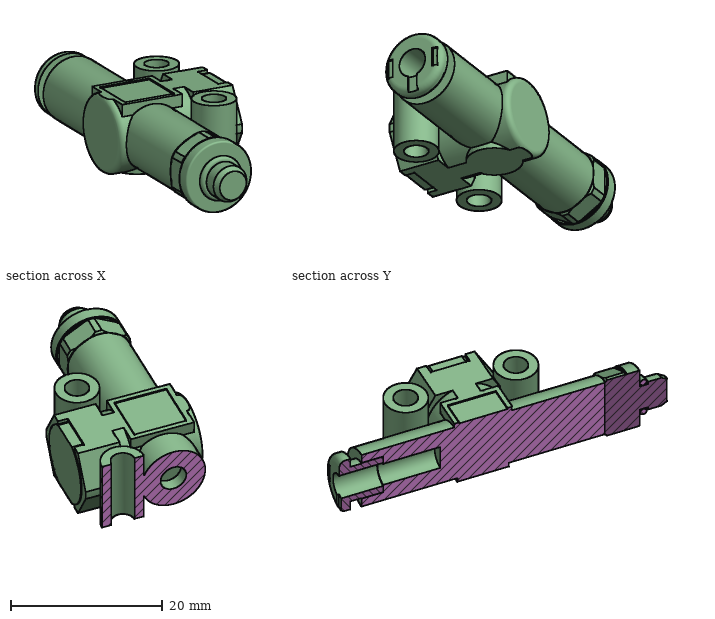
import cadquery as cq
import math


half_hexagon_angle = 30

overall_length = 47.6
left_end = -20.9
right_end = left_end + overall_length
tube_start = left_end + 3.25
tube_end = left_end + 38.6

tube_diameter = 9.2
bore_diameter = 3.6
bore_depth = 11.42

button_flange_diameter = 9.0
button_flange_length = 1.6
button_flange_round = 0.95
button_neck_diameter = 6.2
button_bore_diameter = 4.0
button_seat_depth = 3.15
button_mark_depth = 0.3
button_slot_width = 1.45
button_pocket_inner = 3.05
button_pocket_outer = 3.8
button_pocket_height = 2.65

barrel_diameter = 11.0
barrel_front = -5.47
barrel_length = 17.7
barrel_back = barrel_front + barrel_length
barrel_front_round = 0.8
flat_half_height = 5.25
barrel_back_half_height = 4.95

side_hex_across_flats = 12.45
side_hex_corner_diameter = 13.75
side_hex_front = 6.15
barrel_back_projection = 0.15
side_hex_back = barrel_back - barrel_back_projection
side_pocket_width = 5.65
side_pocket_front = 10.65
side_pocket_floor = 4.3

block_width = 8.43
block_length = 9.05
label_width = 7.0
label_length = 7.43
label_depth = 0.2
lower_boss_diameter = 7.5

mount_diameter = 6.0
mount_hole_diameter = 3.3
mount_height = 10.7
mount_offset_x = 8.0
mount_y = 7.25

fitting_hex_across_flats = 9.0
collar_diameter = 9.9
collar_start = left_end + 41.6
collar_end = left_end + 43.65
hex_chamfer = 0.3
collar_chamfer = 0.15
collar_round = 0.25
nose_start = left_end + 44.8
nose_taper_start = left_end + 46.75
nose_diameter = 5.0
nose_tip_diameter = 4.0

ring_outer_diameter = 6.2
ring_inner_diameter = 4.2
ring_section_diameter = (ring_outer_diameter - ring_inner_diameter) / 2


def rod_x(diameter, start, end):
    """Round rod along the flow axis."""
    return cq.Workplane("YZ", origin=(start, 0, 0)).circle(diameter / 2).extrude(end - start)


def rod_y(diameter, start, end):
    """Round rod along the valve axis."""
    return cq.Workplane("XZ", origin=(0, start, 0)).circle(diameter / 2).extrude(start - end)


def span_box(x_range, y_range, z_range):
    """Box between two limits on each axis."""
    sizes = [high - low for low, high in (x_range, y_range, z_range)]
    corner = (x_range[0], y_range[0], z_range[0])
    return cq.Workplane("XY", origin=corner).box(*sizes, centered=False)


def between_flats(shape, half_height):
    """Trim a shape to a height range that is symmetric about the flow axis."""
    reach = side_hex_corner_diameter
    slab = cq.Workplane("XY").box(2 * reach, 4 * reach, 2 * half_height)
    return shape.intersect(slab)


def hexagon_diameter(across_flats):
    """Corner-to-corner size of a sharp hexagon."""
    return across_flats / math.cos(math.radians(half_hexagon_angle))


def make_barrel():
    barrel = rod_y(barrel_diameter, barrel_front, side_hex_back)
    barrel = barrel.faces("<Y").edges().fillet(barrel_front_round)
    return between_flats(barrel, flat_half_height)


def make_side_hexagon():
    length = side_hex_back - side_hex_front
    hexagon = (
        cq.Workplane("XZ", origin=(0, side_hex_front, 0))
        .polygon(6, hexagon_diameter(side_hex_across_flats))
        .extrude(-length)
    )
    hexagon = hexagon.intersect(rod_y(side_hex_corner_diameter, side_hex_front, side_hex_back))
    return between_flats(hexagon, flat_half_height)


def make_side_pocket(side):
    """Pocket cutter for the upper (side = 1) or lower (side = -1) face of the side hexagon."""
    half_width = side_pocket_width / 2
    heights = sorted((side * side_pocket_floor, side * flat_half_height))
    return span_box((-half_width, half_width), (side_pocket_front, side_hex_back), heights)


def make_barrel_back():
    """Flattened round core, bare in the pockets and standing out behind the side hexagon."""
    return between_flats(rod_y(barrel_diameter, side_pocket_front, barrel_back), barrel_back_half_height)


def make_label_block():
    return cq.Workplane("XY").rect(block_width, block_length).extrude(flat_half_height)


def rod_at_mount(diameter, x):
    """Upright rod on a mounting axis, used for the boss and for its hole."""
    base = cq.Workplane("XY", origin=(x, mount_y, -mount_height / 2))
    return base.circle(diameter / 2).extrude(mount_height)


def make_housing():
    housing = make_barrel().union(make_side_hexagon())
    for side in (1, -1):
        housing = housing.cut(make_side_pocket(side))
    housing = housing.union(make_barrel_back())

    tube = rod_x(tube_diameter, tube_start, tube_end)
    lower_boss = cq.Workplane("XY").circle(lower_boss_diameter / 2).extrude(-flat_half_height)
    label_recess = span_box(
        (-label_width / 2, label_width / 2),
        (-label_length / 2, label_length / 2),
        (flat_half_height - label_depth, flat_half_height),
    )
    housing = housing.union(tube).union(lower_boss).union(make_label_block()).cut(label_recess)

    for x in (-mount_offset_x, mount_offset_x):
        housing = housing.union(rod_at_mount(mount_diameter, x)).cut(rod_at_mount(mount_hole_diameter, x))

    button_seat = rod_x(button_neck_diameter, tube_start, tube_start + button_seat_depth)
    flow_bore = rod_x(bore_diameter, tube_start, tube_start + bore_depth)
    return housing.cut(button_seat).cut(flow_bore)


def make_release_button():
    flange = rod_x(button_flange_diameter, left_end, left_end + button_flange_length)
    flange = flange.faces("<X").edges().fillet(button_flange_round)
    neck_end = tube_start + button_seat_depth
    button = flange.union(rod_x(button_neck_diameter, left_end + button_flange_length, neck_end))
    button = button.cut(rod_x(button_bore_diameter, left_end, neck_end))

    mark_depths = (left_end, left_end + button_mark_depth)
    half_slot = button_slot_width / 2
    button = button.cut(span_box(mark_depths, (-half_slot, half_slot), (-button_flange_diameter / 2, 0)))
    half_pocket = button_pocket_height / 2
    for side in (1, -1):
        pocket_limits = sorted((side * button_pocket_inner, side * button_pocket_outer))
        button = button.cut(span_box(mark_depths, pocket_limits, (-half_pocket, half_pocket)))
    return button


def make_fitting():
    hexagon = (
        cq.Workplane("YZ", origin=(tube_end, 0, 0))
        .transformed(rotate=(0, 0, half_hexagon_angle))
        .polygon(6, hexagon_diameter(fitting_hex_across_flats))
        .extrude(collar_start - tube_end)
    )
    corner_round = rod_x(collar_diameter, tube_end, collar_start).faces("<X").edges().chamfer(hex_chamfer)
    hexagon = hexagon.intersect(corner_round)

    collar = rod_x(collar_diameter, collar_start, collar_end)
    collar = collar.faces("<X").edges().chamfer(collar_chamfer)
    collar = collar.faces(">X").edges().fillet(collar_round)

    ring_groove_core = rod_x(ring_inner_diameter, collar_end, nose_start)
    nose_profile = (
        cq.Workplane("XY")
        .moveTo(nose_start, 0)
        .lineTo(nose_start, nose_diameter / 2)
        .lineTo(nose_taper_start, nose_diameter / 2)
        .lineTo(right_end, nose_tip_diameter / 2)
        .lineTo(right_end, 0)
        .close()
    )
    nose = nose_profile.revolve(360, (0, 0, 0), (1, 0, 0))
    return hexagon.union(collar).union(ring_groove_core).union(nose)


def make_seal_ring():
    section_radius = ring_section_diameter / 2
    ring = cq.Solid.makeTorus(
        ring_inner_diameter / 2 + section_radius,
        section_radius,
        cq.Vector(collar_end + section_radius, 0, 0),
        cq.Vector(1, 0, 0),
    )
    return cq.Workplane(ring)


housing = make_housing()
release_button = make_release_button()
fitting = make_fitting()
seal_ring = make_seal_ring()

result = cq.Compound.makeCompound(
    [housing.val(), release_button.val(), fitting.val(), seal_ring.val()]
)